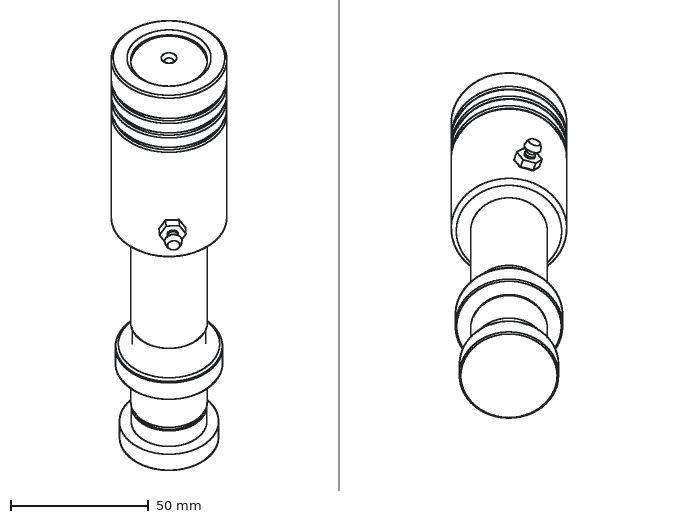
import cadquery as cq
import math

TOTAL_HEIGHT = 186.0
BUSH_LENGTH = 80.0
BUSH_BOTTOM = TOTAL_HEIGHT - BUSH_LENGTH

BUSH_RADIUS = 21.0
BUSH_TOP_CHAMFER = 0.7
BUSH_BOTTOM_CHAMFER = 1.9
BORE_CHAMFER = 1.3
GROOVE_COUNT = 3
FIRST_GROOVE_DROP = 11.9
GROOVE_PITCH = 7.0
GROOVE_WIDTH = 2.5
GROOVE_FLOOR_WIDTH = 1.1
GROOVE_DEPTH = 0.7

PIN_RADIUS = 14.0
PIN_BOTTOM = 16.0
PIN_BOTTOM_CHAMFER_HEIGHT = 1.9
PIN_BOTTOM_CHAMFER_WIDTH = 1.0
PIN_TOP_ROUND = 3.3
UNDERCUT_RADIUS = 13.4
UNDERCUT_TOP = 56.5
COLLAR_RADIUS = 19.5
COLLAR_BOTTOM = 36.0
COLLAR_TOP = 46.1
COLLAR_TOP_CHAMFER_WIDTH = 1.1
COLLAR_TOP_CHAMFER_HEIGHT = 1.0
COLLAR_EASING_WIDTH = 0.2
COLLAR_EASING_HEIGHT = 0.5
COLLAR_ROOT_FILLET = 0.5
COLLAR_BOTTOM_CHAMFER = 0.5
RELIEF_HEIGHT = 1.5
CENTRE_HOLE_RADIUS = 1.7
COUNTERSINK_RADIUS = 2.8
COUNTERSINK_DEPTH = 1.5
CENTRE_HOLE_DEPTH = 5.5
CENTRE_HOLE_TIP = 1.0

FOOT_RADIUS = 18.0
FOOT_HEIGHT = 8.4
FOOT_CHAMFER = 0.5
NECK_RADIUS = 13.8

NIPPLE_HEIGHT = 121.3
NIPPLE_ANGLE = -15.0
SHANK_RADIUS = 3.0
SHANK_START = 15.3
HEX_START = 20.6
HEX_END = 24.0
HEX_ACROSS_FLATS = 8.4
STEM_RADIUS = 2.0
STEM_END = 24.7
WAIST_RADIUS = 1.5
WAIST = 25.5
HEAD_RADIUS = 3.2
HEAD = 27.5
TIP_RADIUS = 2.2
HEAD_BULGE = 0.2
TIP = 30.0


def revolve_about_z(outline):
    """Turn a closed outline of radius and height about the vertical axis."""
    return outline.close().revolve(360, (0, 0, 0), (0, 1, 0))


def make_groove(height):
    """Ring with sloping flanks that cuts one groove around the bush."""
    floor_radius = BUSH_RADIUS - GROOVE_DEPTH
    outer_radius = BUSH_RADIUS + GROOVE_DEPTH
    outer_half_width = GROOVE_WIDTH - GROOVE_FLOOR_WIDTH / 2
    outline = (
        cq.Workplane("XZ")
        .moveTo(floor_radius, height - GROOVE_FLOOR_WIDTH / 2)
        .lineTo(floor_radius, height + GROOVE_FLOOR_WIDTH / 2)
        .lineTo(outer_radius, height + outer_half_width)
        .lineTo(outer_radius, height - outer_half_width)
    )
    return revolve_about_z(outline)


def make_bush(nipple):
    """Sleeve around the pin, with grooves and a seat for the nipple."""
    bush = cq.Workplane("XY", origin=(0, 0, BUSH_BOTTOM)).circle(BUSH_RADIUS).extrude(BUSH_LENGTH)
    bush = bush.faces(">Z").chamfer(BUSH_TOP_CHAMFER)
    bush = bush.faces("<Z").chamfer(BUSH_BOTTOM_CHAMFER)
    bush = bush.faces(">Z").workplane().hole(2 * PIN_RADIUS)
    bore_rim = cq.selectors.RadiusNthSelector(0)
    bush = bush.faces(">Z").edges(bore_rim).chamfer(BORE_CHAMFER)
    for index in range(GROOVE_COUNT):
        bush = bush.cut(make_groove(TOTAL_HEIGHT - FIRST_GROOVE_DROP - index * GROOVE_PITCH))
    return bush.cut(nipple)


def make_pin():
    """Stepped pin with a collar, a rounded top and a centre hole."""
    round_start = TOTAL_HEIGHT - PIN_TOP_ROUND
    chamfer_bottom = COLLAR_TOP - COLLAR_TOP_CHAMFER_HEIGHT
    flat_radius = PIN_RADIUS - PIN_TOP_ROUND
    round_offset = PIN_TOP_ROUND * math.sqrt(0.5)
    round_middle = (flat_radius + round_offset, round_start + round_offset)
    outline = (
        cq.Workplane("XZ")
        .moveTo(0, PIN_BOTTOM)
        .lineTo(PIN_RADIUS - PIN_BOTTOM_CHAMFER_WIDTH, PIN_BOTTOM)
        .lineTo(PIN_RADIUS, PIN_BOTTOM + PIN_BOTTOM_CHAMFER_HEIGHT)
        .lineTo(PIN_RADIUS, COLLAR_BOTTOM - RELIEF_HEIGHT)
        .lineTo(UNDERCUT_RADIUS, COLLAR_BOTTOM - RELIEF_HEIGHT / 2)
        .lineTo(UNDERCUT_RADIUS, COLLAR_BOTTOM)
        .lineTo(COLLAR_RADIUS - COLLAR_BOTTOM_CHAMFER, COLLAR_BOTTOM)
        .lineTo(COLLAR_RADIUS, COLLAR_BOTTOM + COLLAR_BOTTOM_CHAMFER)
        .lineTo(COLLAR_RADIUS, chamfer_bottom - COLLAR_EASING_HEIGHT)
        .lineTo(COLLAR_RADIUS - COLLAR_EASING_WIDTH, chamfer_bottom)
        .lineTo(COLLAR_RADIUS - COLLAR_TOP_CHAMFER_WIDTH, COLLAR_TOP)
        .lineTo(UNDERCUT_RADIUS + COLLAR_ROOT_FILLET, COLLAR_TOP)
        .radiusArc((UNDERCUT_RADIUS, COLLAR_TOP + COLLAR_ROOT_FILLET), COLLAR_ROOT_FILLET)
        .lineTo(UNDERCUT_RADIUS, UNDERCUT_TOP - (PIN_RADIUS - UNDERCUT_RADIUS))
        .lineTo(PIN_RADIUS, UNDERCUT_TOP)
        .lineTo(PIN_RADIUS, round_start)
        .threePointArc(round_middle, (flat_radius, TOTAL_HEIGHT))
        .lineTo(0, TOTAL_HEIGHT)
    )
    return revolve_about_z(outline).cut(make_centre_hole())


def make_centre_hole():
    """Countersunk blind hole with a conical bottom in the top of the pin."""
    hole_bottom = TOTAL_HEIGHT - CENTRE_HOLE_DEPTH
    outline = (
        cq.Workplane("XZ")
        .moveTo(0, TOTAL_HEIGHT)
        .lineTo(COUNTERSINK_RADIUS, TOTAL_HEIGHT)
        .lineTo(CENTRE_HOLE_RADIUS, TOTAL_HEIGHT - COUNTERSINK_DEPTH)
        .lineTo(CENTRE_HOLE_RADIUS, hole_bottom)
        .lineTo(0, hole_bottom - CENTRE_HOLE_TIP)
    )
    return revolve_about_z(outline)


def make_foot():
    """Flanged disc whose neck carries the underside of the pin."""
    foot = cq.Workplane("XY").circle(FOOT_RADIUS).extrude(FOOT_HEIGHT)
    foot = foot.faces("<Z").chamfer(FOOT_CHAMFER)
    return foot.faces(">Z").workplane().circle(NECK_RADIUS).extrude(PIN_BOTTOM - FOOT_HEIGHT)


def make_nipple():
    """Grease nipple with a shank, a hexagon and a waisted round head."""
    bulge = ((HEAD + TIP) / 2, (HEAD_RADIUS + TIP_RADIUS) / 2 + HEAD_BULGE)
    turned = (
        cq.Workplane("XY")
        .moveTo(SHANK_START, 0)
        .lineTo(SHANK_START, SHANK_RADIUS)
        .lineTo(HEX_START, SHANK_RADIUS)
        .lineTo(HEX_START, STEM_RADIUS)
        .lineTo(STEM_END, STEM_RADIUS)
        .lineTo(WAIST, WAIST_RADIUS)
        .lineTo(HEAD, HEAD_RADIUS)
        .threePointArc(bulge, (TIP, TIP_RADIUS))
        .lineTo(TIP, 0)
        .close()
        .revolve(360, (0, 0, 0), (1, 0, 0))
    )
    across_corners = HEX_ACROSS_FLATS / math.cos(math.radians(30))
    hexagon = (
        cq.Workplane("YZ", origin=(HEX_START, 0, 0))
        .polygon(6, across_corners)
        .extrude(HEX_END - HEX_START)
    )
    return turned.union(hexagon).translate((0, 0, NIPPLE_HEIGHT))


def turn_to_nipple_side(body):
    """Swing a body built with the nipple along +X to the direction the nipple faces."""
    return body.rotate((0, 0, 0), (0, 0, 1), NIPPLE_ANGLE)


straight_nipple = make_nipple()
nipple = turn_to_nipple_side(straight_nipple)
bush = turn_to_nipple_side(make_bush(straight_nipple))
pin = make_pin()
foot = make_foot()

bodies = [bush, pin, foot, nipple]
result = cq.Compound.makeCompound([body.solids().val() for body in bodies])